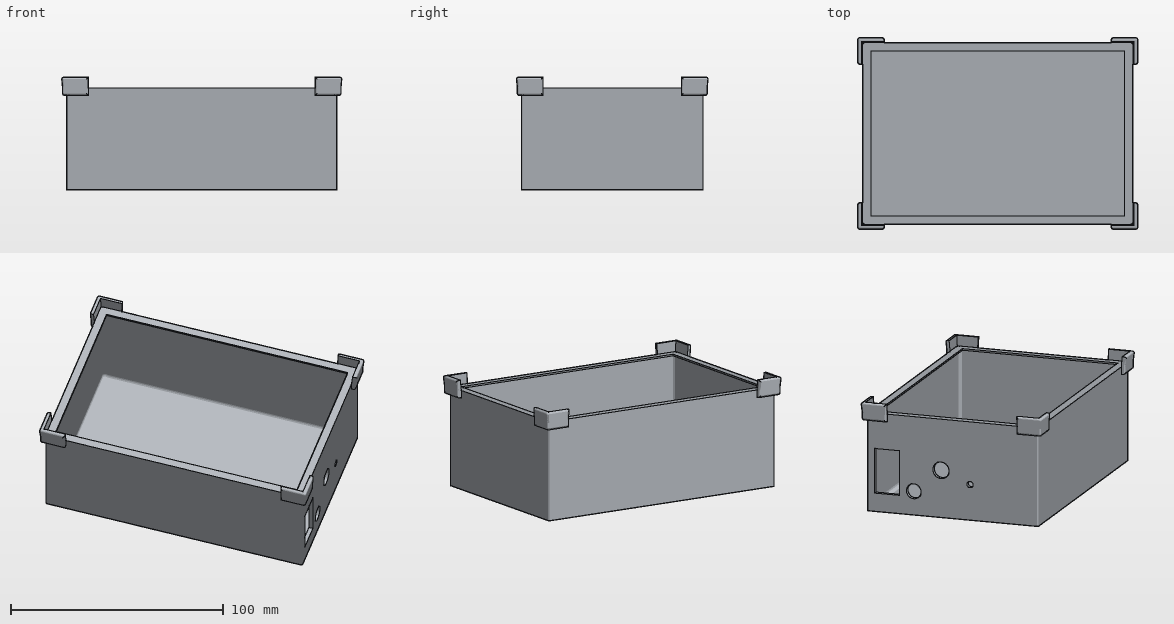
import cadquery as cq
import math

overall_length = 131.7
overall_width = 90.1
overall_height = 53.0

box_height = 48.0
wall = 2.0
floor_thickness = 2.0
outer_corner_radius = 1.0
inner_corner_radius = 2.0

rim_width = 4.0
rim_thickness = 0.8

clip_thickness = 2.0
clip_lean_angle = 5.5
clip_arm_length = 12.5
clip_bottom = 44.4
clip_edge_radius = 1.0

window_width = 12.4
window_height = 21.7
window_center_y = 32.8
window_bottom = 9.0

round_holes = [
    (8.0, 5.8, 23.0),
    (7.2, 19.4, 11.6),
    (3.0, -8.7, 17.4),
]

wall_cut_depth = 4 * wall

tolerance = 0.01

clip_height_above_rim = overall_height - box_height
lean_radians = math.radians(clip_lean_angle)
clip_lean = clip_height_above_rim * math.tan(lean_radians)

edge_rounding_loss = clip_edge_radius * (math.tan(lean_radians) + 1 / math.cos(lean_radians) - 1)
clip_reach = clip_thickness + clip_lean - edge_rounding_loss
box_length = overall_length - 2 * clip_reach
box_width = overall_width - 2 * clip_reach


def block(length, width, bottom, top):
    """Block centered on the Z axis between two heights."""
    return (
        cq.Workplane("XY", origin=(0, 0, bottom))
        .rect(length, width)
        .extrude(top - bottom)
    )


def flared_block(length, width):
    """Block from the rim to the clip tops whose sides lean outward."""
    return (
        cq.Workplane("XY", origin=(0, 0, box_height))
        .rect(length, width)
        .workplane(offset=clip_height_above_rim)
        .rect(length + 2 * clip_lean, width + 2 * clip_lean)
        .loft(ruled=True)
    )


def make_box():
    """Open box with a rounded cavity that widens below the rim."""
    shell = block(box_length, box_width, 0, box_height)
    shell = shell.edges("|Z").fillet(outer_corner_radius)
    cavity = block(
        box_length - 2 * wall,
        box_width - 2 * wall,
        floor_thickness,
        box_height - rim_thickness,
    )
    cavity = cavity.edges("|Z or <Z").fillet(inner_corner_radius)
    opening = block(
        box_length - 2 * rim_width,
        box_width - 2 * rim_width,
        box_height / 2,
        box_height,
    )
    return shell.cut(cavity).cut(opening)


def is_rounded(center):
    """True for an edge on the outer faces of the +X +Y clip, except the crease level with the rim."""
    outside_x = center.x > box_length / 2 + clip_thickness - tolerance
    outside_y = center.y > box_width / 2 + clip_thickness - tolerance
    on_crease = abs(center.z - box_height) < tolerance
    return (outside_x or outside_y) and not on_crease


def make_corner_clip():
    """L-shaped clip around the +X +Y corner, rounded on its outer edges."""
    outer_length = box_length + 2 * clip_thickness
    outer_width = box_width + 2 * clip_thickness
    solid = block(outer_length, outer_width, clip_bottom, box_height)
    solid = solid.union(flared_block(outer_length, outer_width))
    hollow = block(box_length, box_width, clip_bottom, box_height)
    hollow = hollow.union(flared_block(box_length, box_width))
    corner = (
        cq.Workplane("XY", origin=(overall_length / 2, overall_width / 2, clip_bottom))
        .rect(-clip_arm_length, -clip_arm_length, centered=False)
        .extrude(overall_height - clip_bottom)
    )
    clip = solid.cut(hollow).intersect(corner)
    outer_edges = [edge for edge in clip.edges().vals() if is_rounded(edge.Center())]
    return clip.newObject(outer_edges).fillet(clip_edge_radius)


def make_window():
    """Cutter for the rectangular opening in the -X wall."""
    window = block(wall_cut_depth, window_width, window_bottom, window_bottom + window_height)
    return window.translate((-box_length / 2, window_center_y, 0))


def make_round_hole(diameter, center_y, center_z):
    """Cutter for one round hole through the -X wall."""
    return (
        cq.Workplane("YZ", origin=(-box_length / 2, center_y, center_z))
        .circle(diameter / 2)
        .extrude(wall_cut_depth / 2, both=True)
    )


result = make_box()

clip = make_corner_clip()
back_clips = clip.union(clip.mirror("YZ"))
result = result.union(back_clips).union(back_clips.mirror("XZ"))

result = result.cut(make_window())
for diameter, center_y, center_z in round_holes:
    result = result.cut(make_round_hole(diameter, center_y, center_z))